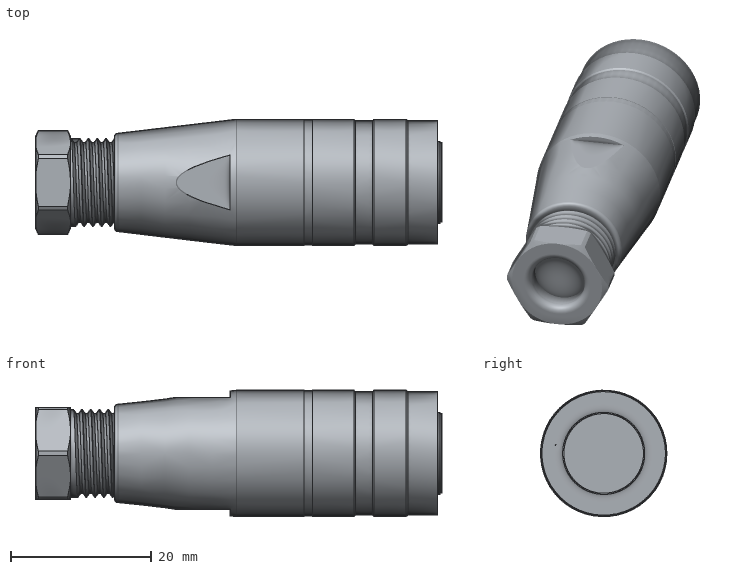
import cadquery as cq
import math

LENGTH = 57.95
HEX_LENGTH = 5.0
CONE_START = 11.25
CONE_END = 28.6
SHELL_END = 57.3

HEX_ACROSS_FLATS = 13.1
HEX_CORNER_RADIUS = 14.8 / 2
HEX_CHAMFER = 0.4
BORE_RADIUS = 3.8
BORE_MOUTH_ROUND = 1.0
BORE_DEPTH = 3.0

THREAD_RADIUS = 12.5 / 2
THREAD_DEPTH = 0.55
THREAD_START = 5.7
THREAD_TURNS = 5
THREAD_LENGTH = 6.25
THREAD_PITCH = THREAD_LENGTH / THREAD_TURNS
GROOVE_MOUTH = 0.94 * THREAD_PITCH
GROOVE_FLOOR = 0.3 * THREAD_PITCH
FLANK_OVERSHOOT = 0.1

SHELL_RADIUS = 18.0 / 2
CONE_SMALL_RADIUS = 7.0
CONE_EDGE_ROUND = 0.5
FLAT_HEIGHT = 8.0
FLAT_END = 27.75

RING_BAND = (38.25, 39.5, 17.9 / 2)
GRIP_BAND = (45.4, 48.3, 17.6 / 2)
END_BAND_START = 52.85
END_BAND_RADIUS = 17.6 / 2
BAND_SLOPE = 0.25

INSERT_RADIUS = 5.85
INSERT_TIP_RADIUS = 5.7
INSERT_STEP = 57.65


def cylinder(start, end, radius):
    """Solid cylinder along X between two stations."""
    return cq.Workplane("YZ", origin=(start, 0, 0)).circle(radius).extrude(end - start)


def revolve_about_x(profile):
    """Revolve a closed XY profile about the X axis."""
    return profile.close().revolve(360, (0, 0, 0), (1, 0, 0))


def make_hex_nut():
    across_corners = HEX_ACROSS_FLATS / math.cos(math.pi / 6)
    prism = cq.Workplane("YZ").polygon(6, across_corners).extrude(HEX_LENGTH)
    face_radius = HEX_ACROSS_FLATS / 2
    turned = revolve_about_x(
        cq.Workplane("XY")
        .moveTo(0, 0)
        .lineTo(0, face_radius)
        .lineTo(HEX_CHAMFER, HEX_CORNER_RADIUS)
        .lineTo(HEX_LENGTH - HEX_CHAMFER, HEX_CORNER_RADIUS)
        .lineTo(HEX_LENGTH, face_radius)
        .lineTo(HEX_LENGTH, 0)
    )
    return prism.intersect(turned)


def make_bore():
    """Blind cable entry with a rounded mouth."""
    return revolve_about_x(
        cq.Workplane("XY")
        .moveTo(0, 0)
        .lineTo(0, BORE_RADIUS + BORE_MOUTH_ROUND)
        .radiusArc((BORE_MOUTH_ROUND, BORE_RADIUS), -BORE_MOUTH_ROUND)
        .lineTo(BORE_DEPTH, BORE_RADIUS)
        .lineTo(BORE_DEPTH, 0)
    )


def make_threaded_neck():
    """Plain neck with a right-handed helical groove that starts on the +Y side."""
    neck = cylinder(HEX_LENGTH, CONE_START, THREAD_RADIUS)
    root_radius = THREAD_RADIUS - THREAD_DEPTH
    flank_slope = (GROOVE_MOUTH - GROOVE_FLOOR) / 2 / THREAD_DEPTH
    half_floor = GROOVE_FLOOR / 2
    half_outer = half_floor + flank_slope * (THREAD_DEPTH + FLANK_OVERSHOOT)
    helix = cq.Wire.makeHelix(THREAD_PITCH, THREAD_LENGTH, root_radius)
    groove = (
        cq.Workplane("XZ")
        .moveTo(root_radius, -half_floor)
        .lineTo(root_radius, half_floor)
        .lineTo(THREAD_RADIUS + FLANK_OVERSHOOT, half_outer)
        .lineTo(THREAD_RADIUS + FLANK_OVERSHOOT, -half_outer)
        .close()
        .sweep(cq.Workplane(obj=helix), isFrenet=True)
    )
    along_x = cq.Plane(origin=(THREAD_START, 0, 0), xDir=(0, 1, 0), normal=(1, 0, 0))
    return neck.cut(cq.Workplane(obj=groove.val().moved(cq.Location(along_x))))


def make_band_cutter(start, end, radius, slope):
    """Ring that cuts a recessed band; its end walls slope over the given length."""
    return revolve_about_x(
        cq.Workplane("XY")
        .moveTo(start, SHELL_RADIUS)
        .lineTo(start + slope, radius)
        .lineTo(end - slope, radius)
        .lineTo(end, SHELL_RADIUS)
    )


def make_shell():
    """Turned cone and cylinder, with the insert showing at the mating end."""
    shell = revolve_about_x(
        cq.Workplane("XY")
        .moveTo(CONE_START, 0)
        .lineTo(CONE_START, CONE_SMALL_RADIUS - CONE_EDGE_ROUND)
        .radiusArc((CONE_START + CONE_EDGE_ROUND, CONE_SMALL_RADIUS), CONE_EDGE_ROUND)
        .lineTo(CONE_END, SHELL_RADIUS)
        .lineTo(END_BAND_START, SHELL_RADIUS)
        .lineTo(END_BAND_START + BAND_SLOPE, END_BAND_RADIUS)
        .lineTo(SHELL_END, END_BAND_RADIUS)
        .lineTo(SHELL_END, INSERT_RADIUS)
        .lineTo(INSERT_STEP, INSERT_RADIUS)
        .lineTo(INSERT_STEP, INSERT_TIP_RADIUS)
        .lineTo(LENGTH, INSERT_TIP_RADIUS)
        .lineTo(LENGTH, 0)
    )
    return shell.cut(make_band_cutter(*RING_BAND, 0)).cut(make_band_cutter(*GRIP_BAND, BAND_SLOPE))


def make_flat_cutters():
    """Blocks that mill a flat on the top and the bottom of the cone."""
    length = FLAT_END - CONE_START
    depth = SHELL_RADIUS - FLAT_HEIGHT
    block = cq.Workplane("XY").box(length, 2 * SHELL_RADIUS, depth, centered=(False, True, False))
    upper = block.translate((CONE_START, 0, FLAT_HEIGHT))
    return upper.union(upper.mirror("XY"))


shell = make_shell().cut(make_flat_cutters())
result = make_hex_nut().union(make_threaded_neck()).union(shell).cut(make_bore())